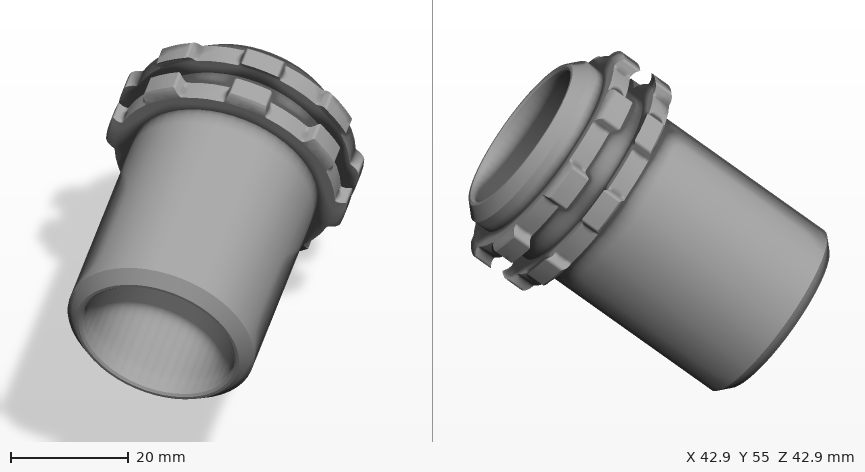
import cadquery as cq
import math

pipe_length = 55.0
pipe_diameter = 33.3
bore_diameter = 27.35
outer_chamfer = 2.05
bore_chamfer = 0.4

ring_diameter = 39.25
ring_bore_diameter = 31.5
ring_thickness = 3.4
ring_inset = 4.95
ring_spacing = 11.8

tooth_count = 8
tooth_tip_diameter = 42.9
tooth_bend = 0.9
tooth_phase = 79.5
tooth_base_width = 7.5
tooth_flank_angle = 12.0
flank_fillet = 0.55

pipe_radius = pipe_diameter / 2
bore_radius = bore_diameter / 2
ring_radius = ring_diameter / 2
ring_bore_radius = ring_bore_diameter / 2
tip_radius = tooth_tip_diameter / 2
back_face = pipe_length - ring_inset
front_face = back_face - ring_spacing


def make_ring_seat(groove_start):
    """Volume of the pipe wall that a ring takes up, from groove_start toward +Y."""
    return (
        cq.Workplane("XZ", origin=(0, groove_start, 0))
        .circle(pipe_radius)
        .circle(ring_bore_radius)
        .extrude(-ring_thickness)
    )


def make_pipe():
    """Pipe with ends chamfered inside and out, and a groove for each ring."""
    body = cq.Workplane("XZ").circle(pipe_radius).extrude(-pipe_length)
    body = body.faces("<Y or >Y").chamfer(outer_chamfer)
    bore = cq.Workplane("XZ").circle(bore_radius).extrude(-pipe_length)
    body = body.cut(bore)
    body = body.edges(cq.selectors.RadiusNthSelector(0)).chamfer(bore_chamfer)
    for groove_start in (front_face, back_face - ring_thickness):
        body = body.cut(make_ring_seat(groove_start))
    return body


def make_bent_disc():
    """Revolved ring section whose rim curves toward +Y, ring face at Y = 0."""
    rim_height = tip_radius - ring_radius
    bend_radius = (rim_height**2 + tooth_bend**2) / (2 * tooth_bend)
    half_turn = math.asin(rim_height / bend_radius) / 2
    mid_radius = ring_radius + bend_radius * math.sin(half_turn)
    mid_shift = bend_radius * (1 - math.cos(half_turn))
    return (
        cq.Workplane("XY")
        .moveTo(ring_bore_radius, 0)
        .lineTo(ring_radius, 0)
        .threePointArc((mid_radius, mid_shift), (tip_radius, tooth_bend))
        .lineTo(tip_radius, ring_thickness + tooth_bend)
        .threePointArc((mid_radius, ring_thickness + mid_shift), (ring_radius, ring_thickness))
        .lineTo(ring_bore_radius, ring_thickness)
        .close()
        .revolve(360, (0, 0, 0), (0, 1, 0))
    )


def make_gear_blank():
    """Prism with the toothed outline of the ring, long enough to cover the bend."""
    blank_length = ring_thickness + tooth_bend
    base_half = tooth_base_width / 2
    base_height = math.sqrt(ring_radius**2 - base_half**2)
    flank_slope = math.tan(math.radians(tooth_flank_angle))
    root_height = pipe_radius
    top_height = tip_radius + tooth_bend
    root_half = base_half + (base_height - root_height) * flank_slope
    top_half = base_half - (top_height - base_height) * flank_slope
    tooth = (
        cq.Workplane("XZ")
        .moveTo(-root_half, root_height)
        .lineTo(root_half, root_height)
        .lineTo(top_half, top_height)
        .lineTo(-top_half, top_height)
        .close()
        .extrude(-blank_length)
    )
    blank = cq.Workplane("XZ").circle(ring_radius).extrude(-blank_length)
    for index in range(tooth_count):
        angle = 90 - tooth_phase + index * 360 / tooth_count
        blank = blank.union(tooth.rotate((0, 0, 0), (0, 1, 0), angle))
    tip_disc = cq.Workplane("XZ").circle(tip_radius).extrude(-blank_length)
    return blank.intersect(tip_disc).edges("|Y").fillet(flank_fillet)


def make_toothed_ring():
    """Ring with its outer face at Y = 0 and its teeth bent toward +Y."""
    return make_bent_disc().intersect(make_gear_blank())


pipe = make_pipe()
front_ring = make_toothed_ring().translate((0, front_face, 0))
back_ring = make_toothed_ring().mirror("XZ").translate((0, back_face, 0))

result = cq.Compound.makeCompound([pipe.val(), front_ring.val(), back_ring.val()])